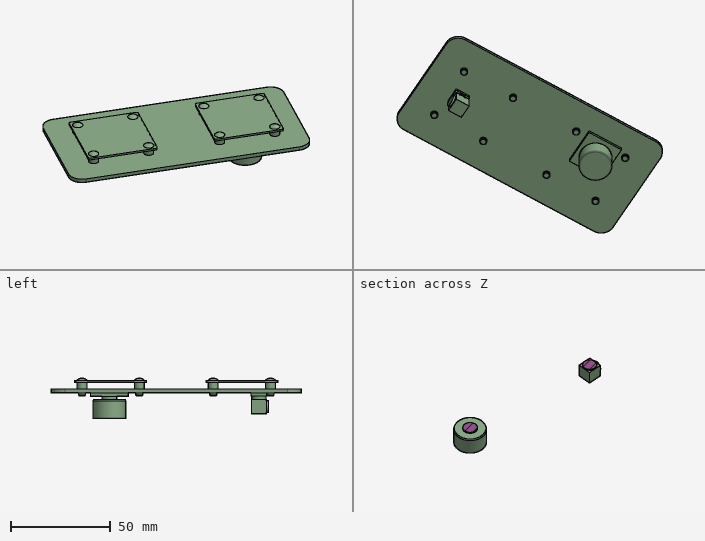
import cadquery as cq

plate_length = 125.3
plate_width = 59.6
plate_thickness = 2.0
plate_corner_radius = 7.0

panel_size = 36.0
panel_thickness = 1.0
panel_corner_radius = 1.0
panel_offset_y = 32.8
panel_gap = 3.3
panel_bottom = plate_thickness + panel_gap
panel_top = panel_bottom + panel_thickness

fastener_pitch = 28.7
spacer_diameter = 5.0
head_diameter = 5.1
head_height = 1.1
tail_diameter = 3.6
tail_length = 1.5
tail_chamfer = 0.4

knob_x = 8.3
knob_y = 33.5
knob_pad_size = 19.0
knob_pad_thickness = 1.8
knob_neck_diameter = 7.5
knob_neck_length = 1.5
knob_diameter = 16.5
knob_height = 9.6
knob_chamfer_height = 0.8
knob_chamfer_inset = 0.4
knob_lower_fillet = 0.4

button_x = -0.3
button_y = -41.3
button_pad_size = 7.9
button_pad_thickness = 1.5
button_neck_diameter = 7.3
button_neck_length = 1.8
block_size = 7.5
block_height = 7.3
button_diameter = 5.9
button_protrusion = 1.1


def square_slab(x, y, top, size, height):
    """Square block hanging down from the level `top`."""
    return cq.Workplane("XY", origin=(x, y, top - height)).rect(size, size).extrude(height)


def round_post(x, y, top, diameter, height):
    """Upright cylinder hanging down from the level `top`."""
    return cq.Workplane("XY", origin=(x, y, top - height)).circle(diameter / 2).extrude(height)


def make_plate():
    plate = cq.Workplane("XY").rect(plate_width, plate_length).extrude(plate_thickness)
    return plate.edges("|Z").fillet(plate_corner_radius)


def dome_radius():
    """Sphere radius of a cap with the head's base diameter and height."""
    return ((head_diameter / 2) ** 2 + head_height**2) / (2 * head_height)


def make_fastener(x, y):
    """Spacer below the panel, domed head above it and chamfered tail under the plate."""
    spacer = round_post(x, y, panel_top, spacer_diameter, panel_top - plate_thickness)
    dome = (
        cq.Workplane("XZ", origin=(x, y, panel_top))
        .lineTo(head_diameter / 2, 0)
        .radiusArc((0, head_height), -dome_radius())
        .close()
        .revolve(360, (0, 0), (0, 1))
    )
    tail = round_post(x, y, plate_thickness, tail_diameter, plate_thickness + tail_length)
    tail = tail.faces("<Z").chamfer(tail_chamfer)
    return spacer.union(dome).union(tail)


def make_panel(y):
    panel = (
        cq.Workplane("XY", origin=(0, y, panel_bottom))
        .rect(panel_size, panel_size)
        .extrude(panel_thickness)
        .edges("|Z")
        .fillet(panel_corner_radius)
    )
    for side_x in (-1, 1):
        for side_y in (-1, 1):
            fastener_x = side_x * fastener_pitch / 2
            fastener_y = y + side_y * fastener_pitch / 2
            panel = panel.union(make_fastener(fastener_x, fastener_y))
    return panel


def make_knob():
    neck_top = -knob_pad_thickness
    knob_top = neck_top - knob_neck_length
    pad = square_slab(knob_x, knob_y, 0, knob_pad_size, knob_pad_thickness)
    neck = round_post(knob_x, knob_y, neck_top, knob_neck_diameter, knob_neck_length)
    knob = round_post(knob_x, knob_y, knob_top, knob_diameter, knob_height)
    knob = knob.faces(">Z").edges().chamfer(knob_chamfer_height, knob_chamfer_inset)
    knob = knob.faces("<Z").edges().fillet(knob_lower_fillet)
    return pad.union(neck).union(knob)


def make_button():
    neck_top = -button_pad_thickness
    block_top = neck_top - button_neck_length
    pad = square_slab(button_x, button_y, 0, button_pad_size, button_pad_thickness)
    neck = round_post(button_x, button_y, neck_top, button_neck_diameter, button_neck_length)
    block = square_slab(button_x, button_y, block_top, block_size, block_height)
    button_origin = (button_x, button_y - block_size / 2, block_top - block_height / 2)
    button = (
        cq.Workplane("XZ", origin=button_origin)
        .circle(button_diameter / 2)
        .extrude(button_protrusion)
    )
    return pad.union(neck).union(block).union(button)


result = make_plate()
for panel_y in (-panel_offset_y, panel_offset_y):
    result = result.union(make_panel(panel_y))
result = result.union(make_knob()).union(make_button())